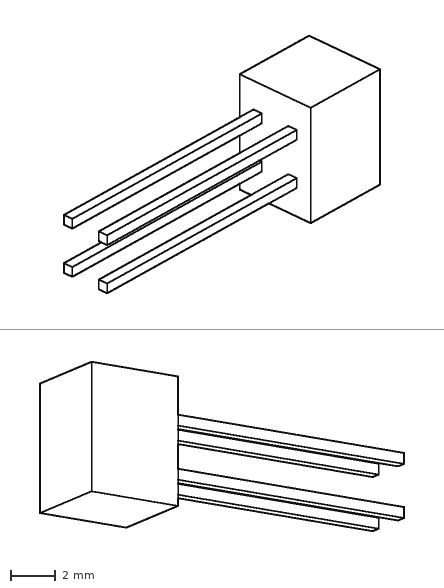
import cadquery as cq

TOTAL_LENGTH = 17.35
HOUSING_WIDTH = 4.39
HOUSING_DEPTH = 4.65
HOUSING_HEIGHT = 6.1

LEAD_SIDE = 0.52
LEAD_PITCH_X = 2.15
LEAD_PITCH_Z = 2.55
LEAD_LENGTH = TOTAL_LENGTH - HOUSING_DEPTH


def make_housing():
    """Plain block with its lead face on Y = 0, centred on X and Z."""
    return cq.Workplane("XY").box(
        HOUSING_WIDTH, HOUSING_DEPTH, HOUSING_HEIGHT, centered=(True, False, True)
    )


def make_lead(x, z):
    """Square lead that butts against the lead face and runs toward -Y."""
    lead = cq.Workplane("XY").box(LEAD_SIDE, LEAD_LENGTH, LEAD_SIDE)
    return lead.translate((x, -LEAD_LENGTH / 2, z))


housing = make_housing()

leads = []
for x_side in (-1, 1):
    for z_side in (-1, 1):
        lead = make_lead(x_side * LEAD_PITCH_X / 2, z_side * LEAD_PITCH_Z / 2)
        leads.append(lead.val())

result = cq.Compound.makeCompound([housing.val(), *leads])